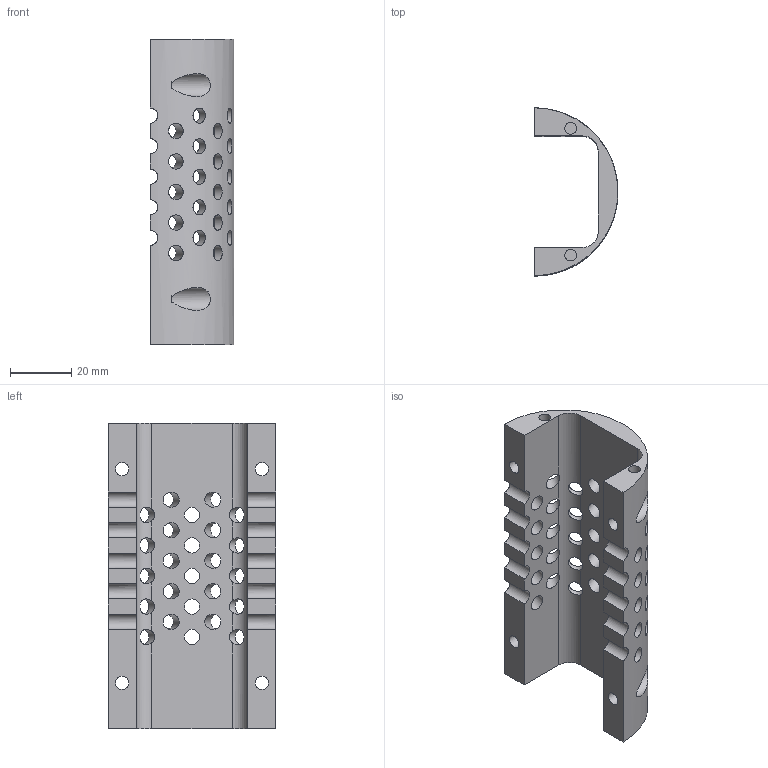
import cadquery as cq
import math

height = 100.0
outer_radius = 27.5

channel_width = 36.5
channel_depth = 21.0
channel_corner_radius = 5.0

vent_diameter = 5.0
vent_pitch = 10.0
vents_per_column = 5
column_angle = 18.0
column_count = 11
first_column_angle = -90.0
low_column_middle = height / 2
high_column_middle = low_column_middle + vent_pitch / 2

screw_diameter = 4.3
screw_head_diameter = 7.5
screw_head_seat_x = 7.0
screw_end_distance = 15.0
screw_y = (outer_radius + channel_width / 2) / 2

pin_diameter = 3.85
pin_depth = 10.0
pin_x = 12.0
pin_y = 20.75


def make_shell():
    outline = (
        cq.Workplane("XY")
        .moveTo(0, -outer_radius)
        .threePointArc((outer_radius, 0), (0, outer_radius))
        .close()
        .extrude(height)
    )
    channel = (
        cq.Workplane("XY")
        .rect(2 * channel_depth, channel_width)
        .extrude(height)
        .edges("|Z")
        .fillet(channel_corner_radius)
    )
    return outline.cut(channel)


def make_vents():
    """Radial cylinders; every second column sits half a pitch lower."""
    reach = 2 * outer_radius
    lowest_offset = -(vents_per_column - 1) / 2 * vent_pitch
    vents = []
    for column in range(column_count):
        angle = math.radians(first_column_angle + column * column_angle)
        outward = cq.Vector(math.cos(angle), math.sin(angle), 0)
        middle = low_column_middle if column % 2 else high_column_middle
        for row in range(vents_per_column):
            start = cq.Vector(0, 0, middle + lowest_offset + row * vent_pitch)
            vents.append(cq.Solid.makeCylinder(vent_diameter / 2, reach, start, outward))
    return vents


def make_screw_holes():
    along_x = cq.Vector(1, 0, 0)
    holes = []
    for y in (-screw_y, screw_y):
        for z in (screw_end_distance, height - screw_end_distance):
            shank_start = cq.Vector(0, y, z)
            head_start = cq.Vector(screw_head_seat_x, y, z)
            holes.append(cq.Solid.makeCylinder(screw_diameter / 2, outer_radius, shank_start, along_x))
            holes.append(cq.Solid.makeCylinder(screw_head_diameter / 2, outer_radius, head_start, along_x))
    return holes


def make_pin_holes():
    down = cq.Vector(0, 0, -1)
    return [
        cq.Solid.makeCylinder(pin_diameter / 2, pin_depth, cq.Vector(pin_x, y, height), down)
        for y in (-pin_y, pin_y)
    ]


result = make_shell()
for cutter in make_vents() + make_screw_holes() + make_pin_holes():
    result = result.cut(cq.Workplane(obj=cutter))